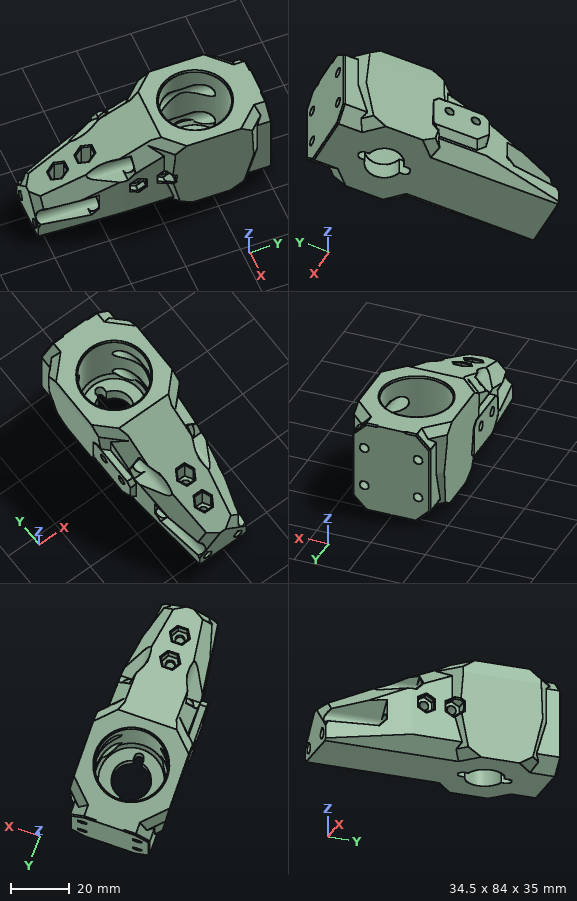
import cadquery as cq
import math

length = 84.0
height = 35.0

core_half = 14.4
long_chamfer = 5.0
rear_chamfer = 0.5
slope_start_y = 44.85
tip_height = 15.2
taper_start_y = 29.9
tip_half = 10.0

bore_y = 61.5
housing_half = 34.5 / 2
housing_foot_half = 15.4
draft_top_z = 30.1
corner_levels = [(0, 22.35), (3.0, 27.3), (17.4, 31.4), (32.1, 31.4), (height, 27.2)]

bore_dia = 25.0
bore_floor_dia = 22.5
bore_floor_z = 6.7
bore_rim_chamfer = 0.5
drive_hole_dia = 13.5
key_slot_length = 19.4

screw_dia = 3.3
head_dia = 5.6
nut_flats = 5.6
nut_rim_chamfer = 0.4
nut_corners = nut_flats / math.cos(math.radians(30))
rim_search = 3.5
screw_pitch = 10.0

bolt_x = 9.9
upper_bolt_z, upper_seat_y = 25.0, 34.0
lower_bolt_z, lower_seat_y = 10.0, 21.2
head_seat_y = 75.6

tip_screw_x = 6.5
tip_screw_z = 3.8
tip_screw_depth = 10.1
facet_low = cq.Vector(-tip_half, 0, 5.55)
facet_high = cq.Vector(-1.3, 0, 15.0)
facet_back = cq.Vector(-5.4, 2.5, 16.1)

front_nut_y = 11.1
nut_pocket_depth = 8.4
pilot_depth = 3.4

tab_outer_x = -16.9
tab_front_y, tab_rear_y = taper_start_y, 51.0
tab_top_z, tab_bottom_z = 22.3, 6.05
tab_corner = 1.9
tab_lower_corner = 3.45
tab_rear_corner = 3.3
tab_bevel = 2.6
cross_screw_y = 35.0
cross_screw_z = 17.55
side_nut_floor_x = 11.85

reach = 50.4


def slope_z(y):
    """Height of the sloping top face."""
    return tip_height + (height - tip_height) * y / slope_start_y


def side_profile(half_width):
    """Long outline of the arm, extruded to both sides of the middle plane."""
    outline = [(0, 0), (length, 0), (length, height), (slope_start_y, height), (0, tip_height)]
    return cq.Workplane("YZ").polyline(outline).close().extrude(half_width, both=True)


def both_sides(solid):
    """The solid together with its mirror image across the middle plane."""
    return solid.union(solid.mirror("YZ"))


def make_core():
    """Tapered arm with chamfered long edges."""
    core = side_profile(core_half).edges("|Y and <Z").chamfer(long_chamfer)
    side_waste = (
        cq.Workplane("XY")
        .polyline([(-core_half, taper_start_y), (-tip_half, 0), (-reach, 0), (-reach, taper_start_y)])
        .close().extrude(height)
    )
    core = core.cut(both_sides(side_waste))
    mid_slope_y = slope_start_y / 2
    slope_face = core.faces(cq.NearestToPointSelector((0, mid_slope_y, slope_z(mid_slope_y))))
    long_edges = core.faces(">Z").edges("|Y").add(slope_face.edges("not |X"))
    core = core.newObject(long_edges.vals()).chamfer(long_chamfer)
    return core.faces(">Y").edges().chamfer(rear_chamfer)


def make_tip_facet():
    """Waste in front of the slanted facet on the -X side of the tip."""
    along = facet_high - facet_low
    outward = along.cross(facet_back - facet_low)
    plane = cq.Plane(origin=facet_low, xDir=along, normal=outward)
    return cq.Workplane(plane).rect(reach, reach).extrude(reach)


def make_housing():
    """Drafted block with bevelled corner planes, cut off by the slope of the arm."""
    half_section = [
        (0, 0), (housing_foot_half, 0), (housing_half, draft_top_z), (housing_half, height), (0, height),
    ]
    sides = cq.Workplane("XZ").polyline(half_section).close().extrude(-length)
    corners = cq.Workplane("XY").center(0, bore_y).transformed(rotate=(0, 0, 45))
    base_z = 0
    for z, half_diagonal in corner_levels:
        side = half_diagonal * math.sqrt(2)
        corners = corners.workplane(offset=z - base_z).rect(side, side)
        base_z = z
    corners = corners.loft(ruled=True, combine=True)
    return both_sides(sides).intersect(corners).intersect(side_profile(reach))


def make_tab():
    """Screw tab on the -X side, bevelled along its lower edges."""
    outline = [
        (tab_front_y, tab_bottom_z + tab_lower_corner), (tab_front_y + tab_lower_corner, tab_bottom_z),
        (tab_rear_y - tab_rear_corner, tab_bottom_z), (tab_rear_y, tab_bottom_z + tab_rear_corner),
        (tab_rear_y, tab_top_z - tab_corner), (tab_rear_y - tab_corner, tab_top_z),
        (tab_front_y + tab_corner, tab_top_z), (tab_front_y, tab_top_z - tab_corner),
    ]
    tab = cq.Workplane("YZ").polyline(outline).close().extrude(tab_outer_x)
    lower_edges = tab.faces("<X").edges(cq.selectors.BoxSelector(
        (-reach, 0, 0), (0, tab_rear_y - tab_rear_corner, tab_bottom_z + tab_lower_corner)))
    return lower_edges.chamfer(tab_bevel)


def make_bore():
    """Stepped bore with a coned floor edge and a keyed drive hole."""
    top_r = bore_dia / 2
    floor_r = bore_floor_dia / 2
    rim_r = top_r + bore_rim_chamfer
    section = [(0, bore_floor_z), (floor_r, bore_floor_z), (top_r, bore_floor_z + top_r - floor_r),
               (top_r, height - bore_rim_chamfer), (rim_r, height), (0, height)]
    bore = cq.Workplane("XZ").polyline(section).close().revolve(360, (0, 0), (0, 1))
    drive_hole = cq.Workplane("XY").circle(drive_hole_dia / 2).extrude(bore_floor_z)
    slot = cq.Workplane("XY").slot2D(key_slot_length, screw_dia, 90).extrude(bore_floor_z)
    return bore.union(drive_hole).union(slot).translate((0, bore_y, 0))


def make_bolt(z, seat_y):
    """Bolt hole on the +X side with its head channel, open to the front and the outside."""
    r = head_dia / 2
    tangent = r * math.sqrt(0.5)
    hole = cq.Workplane("XZ").circle(screw_dia / 2).extrude(-length)
    head = cq.Workplane("XZ").circle(r).extrude(-head_seat_y)
    roof = (
        cq.Workplane("XZ")
        .polyline([(0, 0), (-tangent, tangent), (reach, tangent * 2 + reach), (reach, 0)])
        .close().extrude(-seat_y)
    )
    ramp = (
        cq.Workplane("YZ")
        .polyline([(0, -r), (seat_y - r, -r), (seat_y, 0), (0, 0)])
        .close().extrude(reach)
    )
    return hole.union(head).union(roof).union(ramp).translate((bolt_x, 0, z))


def make_tip_screw():
    """Blind teardrop hole in the tip face on the +X side."""
    r = screw_dia / 2
    tangent = r * math.sqrt(0.5)
    hole = cq.Workplane("XZ").circle(r).extrude(-tip_screw_depth)
    peak = (
        cq.Workplane("XZ")
        .polyline([(0, 0), (tangent, tangent), (0, 2 * tangent), (-tangent, tangent)])
        .close().extrude(-tip_screw_depth)
    )
    return hole.union(peak).translate((tip_screw_x, 0, tip_screw_z))


def make_front_nut(y):
    """Upright nut pocket in the slope with a short pilot hole below."""
    floor_z = slope_z(y) - nut_pocket_depth
    pocket = cq.Workplane("XY").polygon(6, nut_corners).extrude(nut_pocket_depth * 2)
    pilot = cq.Workplane("XY").circle(screw_dia / 2).extrude(-pilot_depth)
    return pocket.union(pilot).translate((0, y, floor_z))


def make_cross_screw(y):
    """Screw hole through the whole width with a nut pocket on the +X side."""
    hole = cq.Workplane("YZ").circle(screw_dia / 2).extrude(reach, both=True)
    pocket = (
        cq.Workplane("YZ", origin=(side_nut_floor_x, 0, 0))
        .transformed(rotate=(0, 0, 90))
        .polygon(6, nut_corners).extrude(reach)
    )
    return hole.union(pocket).translate((0, y, cross_screw_z))


def chamfer_rim(solid, low, high):
    """Chamfer the edges whose middles lie between two opposite box corners."""
    return solid.edges(cq.selectors.BoxSelector(low, high)).chamfer(nut_rim_chamfer)


core = make_core().cut(both_sides(make_tip_facet()))
body = core.union(make_housing()).union(make_tab())
body = body.cut(make_bore())
for bolt_z, seat_y in ((upper_bolt_z, upper_seat_y), (lower_bolt_z, lower_seat_y)):
    body = body.cut(both_sides(make_bolt(bolt_z, seat_y)))
body = body.cut(both_sides(make_tip_screw()))

for step in (0, screw_pitch):
    nut_y = front_nut_y + step
    rim_z = slope_z(nut_y)
    body = body.cut(make_front_nut(nut_y))
    body = chamfer_rim(
        body,
        (-rim_search, nut_y - rim_search, rim_z - nut_pocket_depth / 4),
        (rim_search, nut_y + rim_search, rim_z + nut_pocket_depth / 4),
    )
    cross_y = cross_screw_y + step
    body = body.cut(make_cross_screw(cross_y))
    body = chamfer_rim(
        body,
        (core_half - nut_rim_chamfer / 4, cross_y - rim_search, cross_screw_z - rim_search),
        (housing_half, cross_y + rim_search, cross_screw_z + rim_search),
    )

result = body